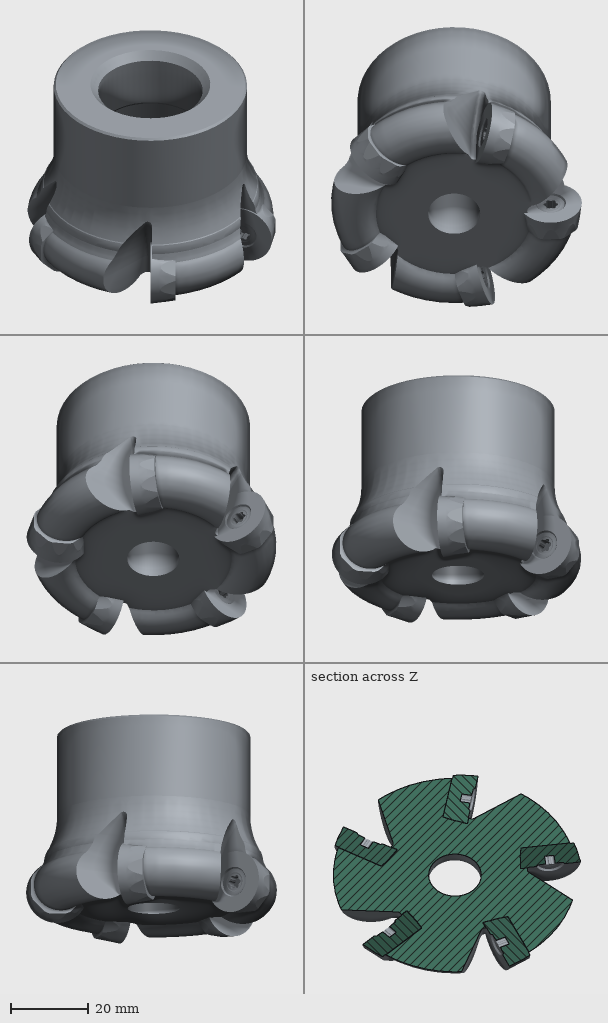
import cadquery as cq
import math


tooth_count = 5
tooth_pitch = 360 / tooth_count

insert_diameter = 16.0
insert_radius = insert_diameter / 2
insert_thickness = 6.5
insert_clearance_angle = 7
insert_circle_diameter = 50.0
insert_axis_radius = insert_circle_diameter / 2
insert_axis_height = insert_radius
flat_count = 8
flat_back_radius = 6.9
flat_tilt = 12

screw_recess_diameter = 7.8
screw_head_diameter = 7.1
screw_recess_depth = 0.45
socket_mouth_diameter = 5.0
socket_mouth_inner_diameter = 4.5
socket_mouth_depth = 0.05
socket_core_diameter = 3.0
socket_lobe_count = 6
socket_lobe_radius = 0.5
socket_tip_radius = 1.9
socket_depth = 2.6

total_height = 50.0
shank_diameter = 50.0
shank_radius = shank_diameter / 2
shank_chamfer = 0.5
flare_top = 28.4
flare_bottom = 18.6
flare_bottom_radius = 27.6
collar_lip = 0.2
collar_radius = 28.4
collar_bottom = 16.15
collar_bulge = 0.1
rim_radius = 6.75
rim_axis_radius = 25.1
rim_axis_height = 8.7
rim_top = 13.8
cove_middle = (28.85, 14.9)
underside_height = 4.0

bore_mouth_diameter = 31.0
bore_diameter = 27.05
bore_relief_diameter = 27.5
bore_floor_diameter = 25.95
bore_fit_depth = 15.05
bore_relief_taper = 0.5
bore_depth = 23.35
through_diameter = 13.5

gullet_root_x = -17.25
gullet_root_radius = 1.15
gullet_wall_angle = 46
gullet_wall_top = 9.1
gullet_runout_radius = 26.6
gullet_runout_angle = 45
gullet_reach = 29.2
seat_offset = 0.45


def rim_offset(height):
    """Horizontal distance of the rim surface from the rim's own circular axis at a height."""
    return math.sqrt(rim_radius**2 - (height - rim_axis_height) ** 2)


def make_blank():
    """Revolved outside of the cutter body: shank, flare, collar and rounded rim."""
    flare_growth = flare_bottom_radius - shank_radius
    flare_drop = flare_top - flare_bottom
    flare_radius = (flare_growth**2 + flare_drop**2) / (2 * flare_growth)
    collar_start = (flare_bottom_radius + collar_lip, flare_bottom - collar_lip)
    collar_middle = (
        (collar_start[0] + collar_radius) / 2 + collar_bulge,
        (collar_start[1] + collar_bottom) / 2,
    )
    collar_end = (collar_radius, collar_bottom)
    rim_start = (rim_axis_radius + rim_offset(rim_top), rim_top)
    rim_side = (rim_axis_radius + rim_radius, rim_axis_height)
    rim_end = (rim_axis_radius - rim_offset(underside_height), underside_height)
    return (
        cq.Workplane("XZ")
        .moveTo(0, total_height)
        .lineTo(shank_radius - shank_chamfer, total_height)
        .lineTo(shank_radius, total_height - shank_chamfer)
        .lineTo(shank_radius, flare_top)
        .radiusArc((flare_bottom_radius, flare_bottom), -flare_radius)
        .lineTo(*collar_start)
        .threePointArc(collar_middle, collar_end)
        .threePointArc(cove_middle, rim_start)
        .threePointArc(rim_side, rim_end)
        .lineTo(0, underside_height)
        .close()
        .revolve(360, (0, 0, 0), (0, 1, 0))
    )


def make_bore():
    """Revolved bore: mouth chamfer, fitting length, relief, floor chamfer and through hole."""
    mouth_radius = bore_mouth_diameter / 2
    fit_radius = bore_diameter / 2
    relief_radius = bore_relief_diameter / 2
    floor_radius = bore_floor_diameter / 2
    through_radius = through_diameter / 2
    floor_height = total_height - bore_depth
    relief_top = total_height - bore_fit_depth
    return (
        cq.Workplane("XZ")
        .moveTo(0, total_height)
        .lineTo(mouth_radius, total_height)
        .lineTo(fit_radius, total_height - (mouth_radius - fit_radius))
        .lineTo(fit_radius, relief_top)
        .lineTo(relief_radius, relief_top - bore_relief_taper)
        .lineTo(relief_radius, floor_height + (relief_radius - floor_radius))
        .lineTo(floor_radius, floor_height)
        .lineTo(through_radius, floor_height)
        .lineTo(through_radius, 0)
        .lineTo(0, 0)
        .close()
        .revolve(360, (0, 0, 0), (0, 1, 0))
    )


def make_gullet():
    """Chip gullet of the tooth on the -X side, bounded by a slanted wall and the seat plane."""
    angle = math.radians(gullet_wall_angle)
    outward = (-math.sin(angle), -math.cos(angle), 0)
    along_wall = (-math.cos(angle), math.sin(angle), 0)
    wall_plane = cq.Plane(origin=(gullet_root_x, -seat_offset, 0), xDir=outward, normal=along_wall)

    def runout_point(degrees):
        turn = math.radians(degrees)
        return (
            gullet_runout_radius * (1 - math.cos(turn)),
            gullet_wall_top + gullet_runout_radius * math.sin(turn),
        )

    runout_end = runout_point(gullet_runout_angle)
    void = (
        cq.Workplane(wall_plane)
        .lineTo(0, gullet_wall_top)
        .threePointArc(runout_point(gullet_runout_angle / 2), runout_end)
        .lineTo(gullet_reach, runout_end[1])
        .lineTo(gullet_reach, 0)
        .close()
        .extrude(gullet_reach, both=True)
    )
    front_of_seat = cq.Workplane("XY", origin=(0, -seat_offset, 0)).box(
        4 * gullet_reach, 2 * gullet_reach, total_height, centered=(True, False, False)
    )
    root_edge = void.intersect(front_of_seat).faces("<Y").edges(">X")
    return root_edge.fillet(gullet_root_radius)


def make_socket():
    """Six-lobed screw socket with a small conical mouth, opening at Y = -screw_recess_depth."""
    plane = cq.Workplane("XZ", origin=(0, -screw_recess_depth, 0))
    socket = plane.circle(socket_core_diameter / 2).extrude(socket_depth)
    lobes = (
        plane.polarArray(socket_tip_radius - socket_lobe_radius, 0, 360, socket_lobe_count)
        .circle(socket_lobe_radius)
        .extrude(socket_depth)
    )
    mouth = (
        plane.circle(socket_mouth_diameter / 2)
        .workplane(offset=socket_mouth_depth)
        .circle(socket_mouth_inner_diameter / 2)
        .loft()
    )
    return socket.union(lobes).union(mouth)


def make_insert_blank():
    """Conical round insert of the -X tooth with eight flats on its back edge; its face is Y = 0."""
    face = cq.Workplane("XZ")
    cone = face.circle(insert_radius).extrude(insert_thickness, taper=insert_clearance_angle)
    flats = (
        face.workplane(offset=insert_thickness)
        .polygon(flat_count, 2 * flat_back_radius, circumscribed=True)
        .extrude(-insert_thickness, taper=-flat_tilt)
    )
    return cone.intersect(flats).translate((-insert_axis_radius, 0, insert_axis_height))


def make_insert():
    """Insert together with its clamping screw, whose head lies just below the insert face."""
    screw_recess = (
        cq.Workplane("XZ")
        .circle(screw_recess_diameter / 2)
        .workplane(offset=screw_recess_depth)
        .circle(screw_head_diameter / 2)
        .loft()
    )
    screw_form = screw_recess.union(make_socket())
    placed_screw_form = screw_form.translate((-insert_axis_radius, 0, insert_axis_height))
    return make_insert_blank().cut(placed_screw_form).solids()


def at_tooth(shape, index):
    """Copy of a shape of the -X tooth turned to another tooth."""
    return shape.rotate((0, 0, 0), (0, 0, 1), index * tooth_pitch)


def make_body():
    """Cutter body with its bore, gullets and insert pockets."""
    body = make_blank().cut(make_bore())
    gullet = make_gullet()
    pocket = make_insert_blank()
    for index in range(tooth_count):
        body = body.cut(at_tooth(gullet, index))
        body = body.cut(at_tooth(pocket, index))
    return body.solids()


body = make_body()
insert = make_insert()
inserts = [at_tooth(insert, index) for index in range(tooth_count)]

result = cq.Compound.makeCompound([body.val(), *[item.val() for item in inserts]])